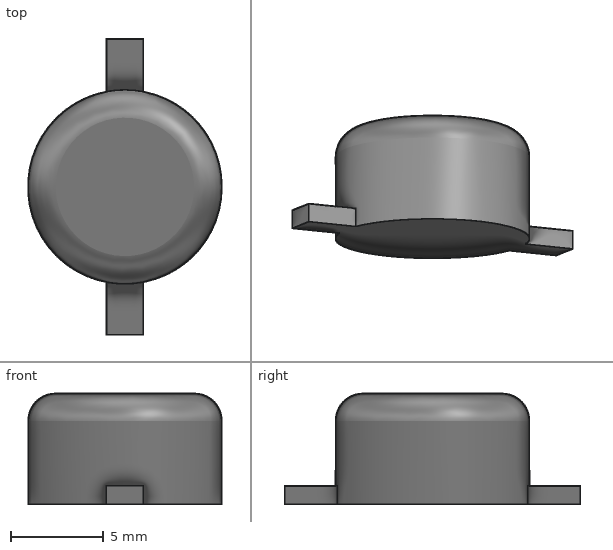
import cadquery as cq

body_diameter = 10.5
body_height = 6.0
top_edge_radius = 1.5

tab_span = 16.0
tab_width = 2.0
tab_height = tab_width / 2


def make_body():
    """Cylinder standing on Z = 0 with its top edge rounded."""
    body = cq.Workplane("XY").circle(body_diameter / 2).extrude(body_height)
    return body.faces(">Z").edges().fillet(top_edge_radius)


def make_tabs():
    """Strip along Y, flush with the base, whose two ends are the tabs."""
    return cq.Workplane("XY").rect(tab_width, tab_span).extrude(tab_height)


result = make_body().union(make_tabs())